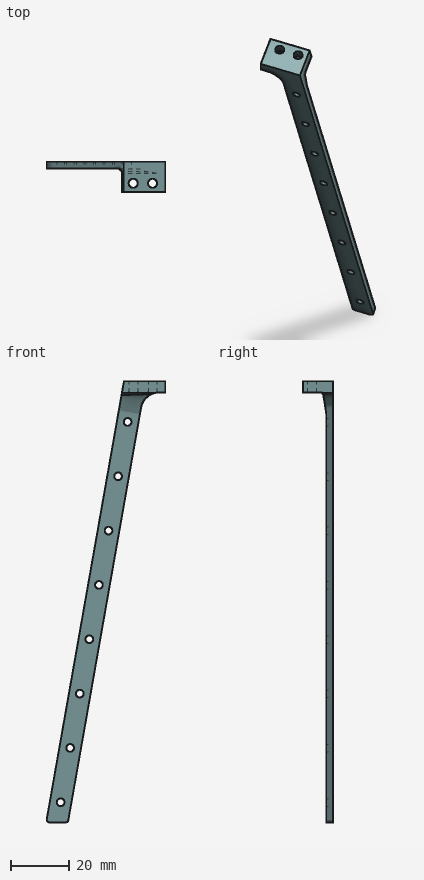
import cadquery as cq
import math

total_width = 40.8
total_depth = 10.5
total_height = 151.7

lean_angle = 10
strap_width = 7.5
strap_thickness = 2.5
foot_radius = 1.0

plate_thickness = 4.0
plate_top_length = 14.3
corner_radius = 6

neck_height = 6
neck_thickness = 3.3
neck_chamfer_depth = 0.6
neck_chamfer_height = 0.9

strap_hole_diameter = 2.6
strap_hole_count = 8
strap_hole_pitch = 19.0
lowest_hole_height = 7.0
plate_hole_diameter = 3
plate_hole_count = 2
plate_hole_pitch = 6.7
plate_hole_end_distance = 4.4
plate_hole_front_distance = 3

lean = math.radians(lean_angle)
strap_span = strap_width / math.cos(lean)
plate_underside = total_height - plate_thickness
plate_top_left = total_width - plate_top_length


def left_edge(z):
    """X position of the leaning left edge at height z."""
    return plate_top_left - (total_height - z) * math.tan(lean)


def bracket_profile(depth):
    """Strap and plate outline with rounded corners, extruded forward from the back plane (Y = 0)."""
    inner_corner_x = left_edge(plate_underside) + strap_span
    outline = [
        (left_edge(0), 0),
        (plate_top_left, total_height),
        (total_width, total_height),
        (total_width, plate_underside),
        (inner_corner_x, plate_underside),
        (left_edge(0) + strap_span, 0),
    ]
    body = cq.Workplane("XZ").polyline(outline).close().extrude(depth)
    inner_corner = cq.selectors.NearestToPointSelector((inner_corner_x, -depth / 2, plate_underside))
    body = body.edges("|Y").edges(inner_corner).fillet(corner_radius)
    return body.faces("<Z").edges("|Y").fillet(foot_radius)


def make_plate():
    """Horizontal plate whose left end follows the lean of the strap."""
    outline = [
        (left_edge(plate_underside), plate_underside),
        (plate_top_left, total_height),
        (total_width, total_height),
        (total_width, plate_underside),
    ]
    return cq.Workplane("XZ").polyline(outline).close().extrude(total_depth)


def make_neck():
    """Tapered thickening of the strap, chamfered where it meets the plate."""
    base_z = plate_underside - neck_height
    neck_length = neck_height / math.cos(lean)
    taper = (neck_thickness - strap_thickness) / neck_length
    wedge_length = 2 * neck_length
    across_strap = cq.Plane(
        origin=(left_edge(base_z), 0, base_z),
        xDir=(math.sin(lean), 0, math.cos(lean)),
        normal=(math.cos(lean), 0, -math.sin(lean)),
    )
    wedge = (
        cq.Workplane(across_strap)
        .polyline([
            (0, 0),
            (0, strap_thickness),
            (wedge_length, strap_thickness + taper * wedge_length),
            (wedge_length, 0),
        ])
        .close()
        .extrude(total_width, both=True)
    )
    chamfer_bottom = plate_underside - neck_chamfer_height
    chamfer_start = neck_thickness - taper * neck_chamfer_height
    chamfer_front = neck_thickness + neck_chamfer_depth
    chamfer = (
        cq.Workplane("YZ")
        .polyline([
            (0, plate_underside),
            (-chamfer_front, plate_underside),
            (-chamfer_start, chamfer_bottom),
            (0, chamfer_bottom),
        ])
        .close()
        .extrude(total_width)
    )
    return wedge.union(chamfer).intersect(bracket_profile(total_depth))


def strap_holes():
    """Row of holes along the centreline of the strap, through its thickness."""
    lowest_x = left_edge(lowest_hole_height) + strap_span / 2
    step_x = strap_hole_pitch * math.sin(lean)
    step_z = strap_hole_pitch * math.cos(lean)
    centres = [
        (lowest_x + i * step_x, lowest_hole_height + i * step_z)
        for i in range(strap_hole_count)
    ]
    return cq.Workplane("XZ").pushPoints(centres).circle(strap_hole_diameter / 2).extrude(total_depth)


def plate_holes():
    """Two vertical holes through the plate near its front edge."""
    hole_y = plate_hole_front_distance - total_depth
    last_x = total_width - plate_hole_end_distance
    centres = [(last_x - i * plate_hole_pitch, hole_y) for i in range(plate_hole_count)]
    return (
        cq.Workplane("XY", origin=(0, 0, plate_underside))
        .pushPoints(centres)
        .circle(plate_hole_diameter / 2)
        .extrude(plate_thickness)
    )


strap = bracket_profile(strap_thickness)
bracket = strap.union(make_plate()).union(make_neck())
result = bracket.cut(strap_holes()).cut(plate_holes())